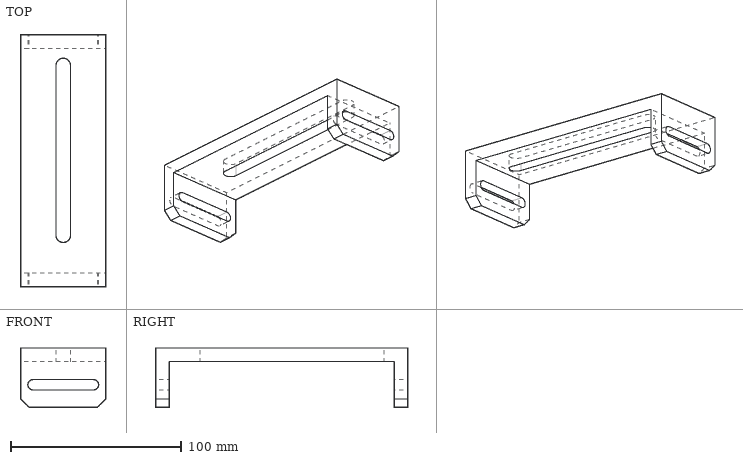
import cadquery as cq

length = 148.0
width = 50.0
height = 35.0
thickness = 8.0

top_slot_length = 108.0
top_slot_width = 8.5
top_slot_offset = 6.0

leg_slot_length = 41.5
leg_slot_width = 5.9
leg_slot_depth_below_top = 21.6

bevel_across = 5.0
bevel_up = 4.9


def leg_profile():
    """End outline in XZ with both lower corners bevelled, top face at Z = 0."""
    half = width / 2
    return [
        (-half, 0),
        (half, 0),
        (half, bevel_up - height),
        (half - bevel_across, -height),
        (bevel_across - half, -height),
        (-half, bevel_up - height),
    ]


body = cq.Workplane("XZ").polyline(leg_profile()).close().extrude(length / 2, both=True)

gap = (
    cq.Workplane("XY")
    .workplane(offset=-height)
    .rect(width, length - 2 * thickness)
    .extrude(height - thickness)
)

top_slot = (
    cq.Workplane("XY")
    .center(0, top_slot_offset)
    .slot2D(top_slot_length, top_slot_width, 90)
    .extrude(-thickness)
)

leg_slots = (
    cq.Workplane("XZ")
    .center(0, -leg_slot_depth_below_top)
    .slot2D(leg_slot_length, leg_slot_width)
    .extrude(length / 2, both=True)
)

result = body.cut(gap).cut(top_slot).cut(leg_slots)